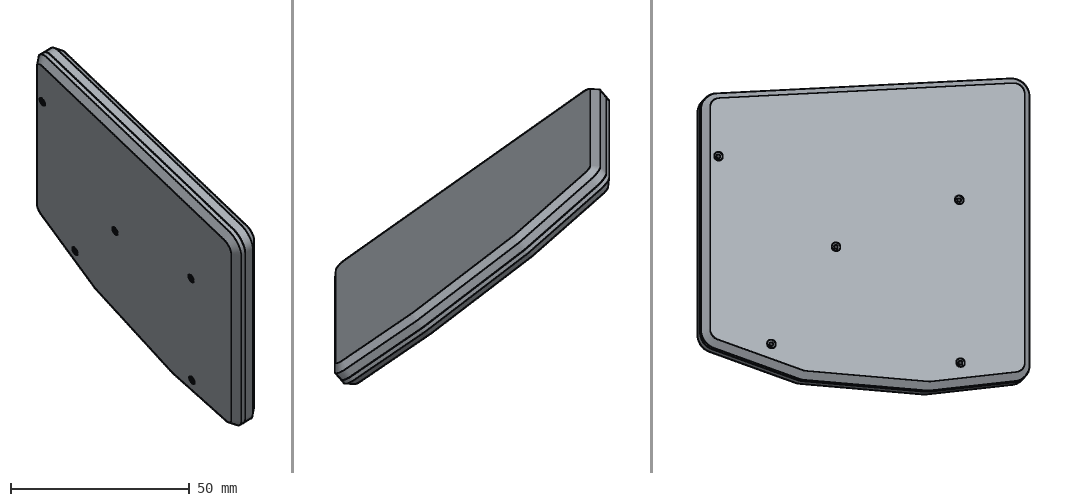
import cadquery as cq
import math

WIDTH = 95.6
THICKNESS = 8.0
HEIGHT = 93.9
EDGE_CHAMFER = 2.0
CORNER_RADIUS = 5.0

COVER_THICKNESS = 3.3
PARTING_GAP = 0.1

TOP_SLOPE = 7.9
LEFT_SLOPE = 15.5
RIGHT_SLOPE = 11.3
FOOT_LEFT_X = -18.6
FOOT_RIGHT_X = 18.4

HEAD_DIAMETER = 2.5
HEAD_DEPTH = 0.3
SHANK_DIAMETER = 1.1
SCREW_CENTRES = [
    (-43.3, 16.0),
    (26.8, 9.3),
    (-9.1, -7.65),
    (-27.9, -37.9),
    (27.15, -38.5),
]

FRONT_Y = -THICKNESS / 2
BACK_Y = THICKNESS / 2
COVER_REAR_Y = FRONT_Y + COVER_THICKNESS
SHELL_FRONT_Y = COVER_REAR_Y + PARTING_GAP


def rise(run, slope):
    """Height gained over a horizontal run at a slope in degrees."""
    return run * math.tan(math.radians(slope))


def plane_at(y):
    """Sketch plane facing -Y at a depth y; its local axes are X and Z."""
    return cq.Workplane(cq.Plane(origin=(0, y, 0), xDir=(1, 0, 0), normal=(0, -1, 0)))


def outline_points():
    """Sharp corners of the outline, anticlockwise from the left end of the foot."""
    right = WIDTH / 2
    bottom = -HEIGHT / 2
    arc_centre_z = HEIGHT / 2 - CORNER_RADIUS
    slope = math.radians(TOP_SLOPE)
    top_right_z = arc_centre_z + CORNER_RADIUS / math.cos(slope) + rise(CORNER_RADIUS, TOP_SLOPE)
    return [
        (FOOT_LEFT_X, bottom),
        (FOOT_RIGHT_X, bottom),
        (right, bottom + rise(right - FOOT_RIGHT_X, RIGHT_SLOPE)),
        (right, top_right_z),
        (-right, top_right_z - rise(WIDTH, TOP_SLOPE)),
        (-right, bottom + rise(FOOT_LEFT_X + right, LEFT_SLOPE)),
    ]


def rounded_slab(y_front, y_back):
    """Slab with the case outline between two depths, all its corners rounded."""
    slab = plane_at(y_front).polyline(outline_points()).close().extrude(y_front - y_back)
    return slab.edges("|Y").fillet(CORNER_RADIUS)


def make_back_shell():
    """Solid rear body with its back rim chamfered."""
    return rounded_slab(SHELL_FRONT_Y, BACK_Y).faces(">Y").chamfer(EDGE_CHAMFER)


def screw_cylinders(diameter, depth):
    """Cylinders running back from the front face at every screw centre."""
    return plane_at(FRONT_Y).pushPoints(SCREW_CENTRES).circle(diameter / 2).extrude(-depth)


def make_front_cover():
    """Front body with its front rim chamfered and stepped screw holes."""
    cover = rounded_slab(FRONT_Y, COVER_REAR_Y).faces("<Y").chamfer(EDGE_CHAMFER)
    cover = cover.cut(screw_cylinders(HEAD_DIAMETER, HEAD_DEPTH))
    return cover.cut(screw_cylinders(SHANK_DIAMETER, COVER_THICKNESS))


back_shell = make_back_shell()
front_cover = make_front_cover()

result = cq.Compound.makeCompound([back_shell.val(), front_cover.val()])